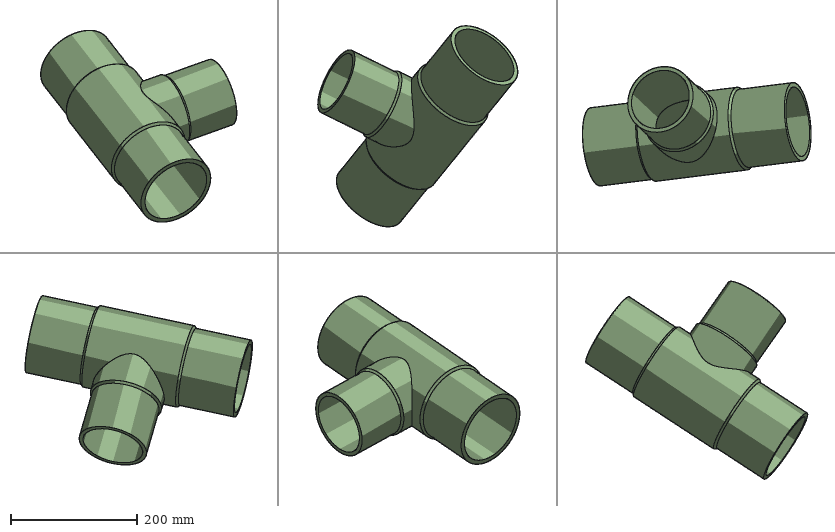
import cadquery as cq

run_length = 340.0
run_diameter = 125.0
run_bore = 110.5

sleeve_length = 160.5
sleeve_diameter = 132.3

branch_reach = 170.0
branch_diameter = 110.0
branch_wall = 6.5
branch_bore = branch_diameter - 2 * branch_wall

collar_reach = 87.7
collar_diameter = 116.3

bevel_length = 3.7
sleeve_bevel_height = (sleeve_diameter - run_diameter) / 2
collar_bevel_height = (collar_diameter - branch_diameter) / 2


def run_cylinder(diameter, length):
    """Cylinder along X, centred on the origin."""
    return cq.Workplane("YZ").circle(diameter / 2).extrude(length / 2, both=True)


def branch_cylinder(diameter, reach):
    """Cylinder from the main axis along +Y."""
    return cq.Workplane("XZ").circle(diameter / 2).extrude(-reach)


def bevelled_sleeve():
    """Sleeve turned about X, with a bevel at each end."""
    end = sleeve_length / 2
    shoulder = end - bevel_length
    outer_radius = sleeve_diameter / 2
    end_radius = outer_radius - sleeve_bevel_height
    profile = [
        (-end, 0),
        (-end, end_radius),
        (-shoulder, outer_radius),
        (shoulder, outer_radius),
        (end, end_radius),
        (end, 0),
    ]
    return cq.Workplane("XY").polyline(profile).close().revolve(360, (0, 0), (1, 0))


def bevelled_collar():
    """Collar turned about Y, with a bevel at its outer end."""
    outer_radius = collar_diameter / 2
    profile = [
        (0, 0),
        (outer_radius, 0),
        (outer_radius, collar_reach - bevel_length),
        (outer_radius - collar_bevel_height, collar_reach),
        (0, collar_reach),
    ]
    return cq.Workplane("XY").polyline(profile).close().revolve(360, (0, 0), (0, 1))


outside = (
    run_cylinder(run_diameter, run_length)
    .union(bevelled_sleeve())
    .union(branch_cylinder(branch_diameter, branch_reach))
    .union(bevelled_collar())
)

result = outside.cut(run_cylinder(run_bore, run_length)).cut(branch_cylinder(branch_bore, branch_reach))